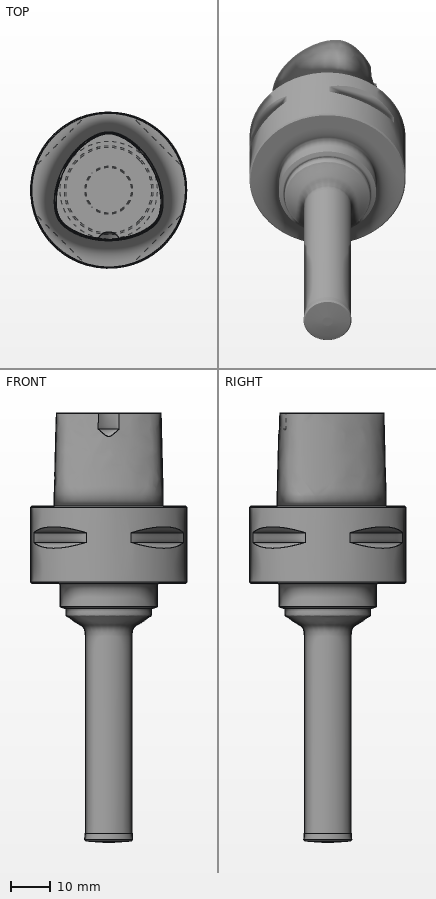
import cadquery as cq
import math

total_height = 110.0
tip_height = 2.3
tip_edge_height = 0.8
tip_face_height = 0.3
rod_top = 52.9
spigot_bottom = 59.0
neck_bottom = 60.4
flange_bottom = 66.3
flange_top = 86.1
taper_bottom = 88.8

flange_radius = 40.0 / 2
neck_radius = 25.0 / 2
spigot_radius = 22.0 / 2
rod_radius = 12.0 / 2
tip_top_radius = 6.0
tip_radius = 6.2
tip_rim_radius = 5.8
tip_flat_radius = 2.6 / 2
flange_chamfer = 0.3
neck_fillet = 0.4
neck_chamfer_height = 0.4
neck_chamfer_width = 1.1

flare_rim_radius = 10.6
flare_rim_height = 57.9
flare_middle_radius = 8.4
flare_middle_height = 56.3
flare_waist_radius = 6.6
flare_waist_height = 55.2

shank_radius = 14.0
lobe_rise = 1.0
taper_slope = 1 / 40
lobe_count = 3
outline_points = 72

notch_radius = 3.0
notch_axis_offset = 13.6
notch_shoulder = 105.9

groove_count = 4
groove_height = 78.1
groove_floor_distance = 17.6
groove_floor_half_width = 1.2
groove_mouth_half_width = 2.8


def lobed_outline(height, mean_radius):
    """Closed three-lobed curve with one lobe pointing to +Y, as an offset of its support function."""
    points = []
    for index in range(outline_points):
        angle = 2 * math.pi * index / outline_points
        phase = lobe_count * (angle - math.pi / 2)
        support = mean_radius + lobe_rise * math.cos(phase)
        slope = -lobe_count * lobe_rise * math.sin(phase)
        points.append(cq.Vector(
            support * math.cos(angle) - slope * math.sin(angle),
            support * math.sin(angle) + slope * math.cos(angle),
            height,
        ))
    return cq.Wire.assembleEdges([cq.Edge.makeSpline(points, periodic=True)])


def make_shank():
    """Lobed shank: a straight foot below a tapered length."""
    top_radius = shank_radius - taper_slope * (total_height - taper_bottom)
    foot_wire = lobed_outline(flange_top, shank_radius)
    foot = cq.Solid.extrudeLinear(foot_wire, [], cq.Vector(0, 0, taper_bottom - flange_top))
    taper = cq.Solid.makeLoft([
        lobed_outline(taper_bottom, shank_radius),
        lobed_outline(total_height, top_radius),
    ])
    return cq.Workplane(obj=foot).union(cq.Workplane(obj=taper), clean=False)


def make_notch():
    """Vertical round cutter with a conical point."""
    return (
        cq.Workplane("XZ")
        .moveTo(0, total_height)
        .lineTo(notch_radius, total_height)
        .lineTo(notch_radius, notch_shoulder)
        .lineTo(0, notch_shoulder - notch_radius)
        .close()
        .revolve(360, (0, 0, 0), (0, 1, 0))
        .translate((0, -notch_axis_offset, 0))
    )


def make_groove(angle):
    """Straight groove across the flange, widening outwards from a flat floor."""
    half_growth = groove_mouth_half_width - groove_floor_half_width
    depth = flange_radius - groove_floor_distance
    return (
        cq.Workplane("XZ")
        .moveTo(groove_floor_distance, groove_height - groove_floor_half_width)
        .lineTo(groove_floor_distance, groove_height + groove_floor_half_width)
        .line(depth, half_growth)
        .lineTo(flange_radius, groove_height - groove_mouth_half_width)
        .close()
        .extrude(flange_radius, both=True)
        .rotate((0, 0, 0), (0, 0, 1), angle)
    )


def make_turned_body():
    """Rod, flare, spigot, neck and flange as one revolved profile."""
    return (
        cq.Workplane("XZ")
        .moveTo(0, tip_height)
        .lineTo(rod_radius, tip_height)
        .lineTo(rod_radius, rod_top)
        .spline(
            [
                (flare_waist_radius, flare_waist_height),
                (flare_middle_radius, flare_middle_height),
                (flare_rim_radius, flare_rim_height),
                (spigot_radius, spigot_bottom),
            ],
            tangents=[(0, 1), (0, 1)],
            includeCurrent=True,
        )
        .lineTo(spigot_radius, neck_bottom - neck_chamfer_height)
        .lineTo(neck_radius - neck_chamfer_width, neck_bottom - neck_chamfer_height)
        .lineTo(neck_radius, neck_bottom)
        .lineTo(neck_radius, flange_bottom - neck_fillet)
        .radiusArc((neck_radius + neck_fillet, flange_bottom), neck_fillet)
        .lineTo(flange_radius - flange_chamfer, flange_bottom)
        .lineTo(flange_radius, flange_bottom + flange_chamfer)
        .lineTo(flange_radius, flange_top - flange_chamfer)
        .lineTo(flange_radius - flange_chamfer, flange_top)
        .lineTo(0, flange_top)
        .close()
        .revolve(360, (0, 0, 0), (0, 1, 0))
    )


def make_tool_body():
    """Shank, flange and rod in one piece."""
    body = make_turned_body().union(make_shank(), clean=False).cut(make_notch())
    for index in range(groove_count):
        body = body.cut(make_groove(45 + index * 360 / groove_count))
    return body.solids()


def make_cutting_tip():
    """Short tip that widens downwards and ends in a shallow cone with a small flat."""
    return (
        cq.Workplane("XZ")
        .lineTo(tip_flat_radius, 0)
        .lineTo(tip_rim_radius, tip_face_height)
        .lineTo(tip_radius, tip_edge_height)
        .lineTo(tip_top_radius, tip_height)
        .lineTo(0, tip_height)
        .close()
        .revolve(360, (0, 0, 0), (0, 1, 0))
    )


tool_body = make_tool_body()
cutting_tip = make_cutting_tip()
result = cq.Compound.makeCompound([tool_body.val(), cutting_tip.val()])